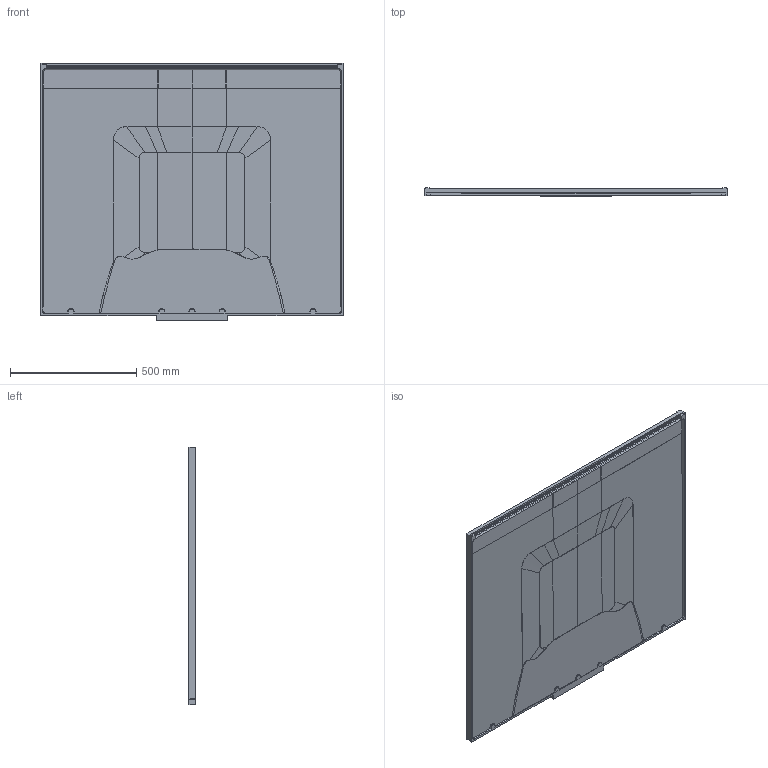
import cadquery as cq
WIDTH = 1200.0
THICKNESS = 30.0
HEIGHT = 1020.0
HALF_WIDTH = WIDTH / 2
RIM_FRONT_Y = -THICKNESS / 2
RIB_BACK_Y = THICKNESS / 2

PANEL_BOTTOM_Z = 20.0
RIM_WIDTH = 7.0
RIM_INNER_X = HALF_WIDTH - RIM_WIDTH
RIM_TOP_Z = 28.0
RIM_DRAFT = 20.0
RECESS_CORNER_RADIUS = 10.0
RECESS_BACK_Y = 3.0
BOTTOM_ROUND = 4.0
RAIL_BOTTOM_Z = 998.0
RAIL_FRONT_Y = -3.2
CORNER_BLOCK_INNER_X = 577.0
CORNER_BLOCK_TOP_Z = 1015.0

BACK_Y = 12.0
RIB_WIDTH = 18.0
RIB_ROUND = 2.5

GROOVE_HALF_LENGTH = 575.0
GROOVE_TOP_Z = 1013.0
GROOVE_FACET_COUNT = 4
GROOVE_CORNER = 4.0
GROOVE_BACK_Y = 2.0

TAB_HALF_WIDTH = 142.0

CROWN_HALF_WIDTH = 137.0
CROWN_FALL = 0.5
CREASE_Z = 922.0
TOP_CREST_Y = -8.0
CREASE_CREST_Y = -9.0
BOTTOM_CREST_Y = -14.0
SIDE_FALL = 4.0
STEP_WIDTH = 5.0
STEP_DEPTH = 0.6

DISH_HALF_WIDTH = 312.0
DISH_BOTTOM_Z = 167.0
DISH_TOP_Z = 769.0
DISH_CORNER_RADIUS = 52.0
DISH_BORDER = 102.0
FLOOR_CORNER_RADIUS = 24.0
RIM_FACET_XS = (186.0, 137.0, 0.0, -137.0, -186.0)
FLOOR_FACET_XS = (137.0, 100.0, 0.0, -100.0, -137.0)
DISH_DEPTH = 2.0
DISH_EDGE_FALL = 1.5
DISH_BED = 5.0

APRON_Y = -12.0
APRON_SHOULDER_WIDTH = 7.0
APRON_SHOULDER_DROP = 1.0
APRON_FOOT_X = 362.0
APRON_FLANK = (338.0, 130.0)
APRON_SHOULDER = (308.0, 233.0)
APRON_CREST = [(286.0, 256.0), (244.0, 244.0), (200.0, 254.0), (143.0, 279.0), (72.0, 282.5)]
APRON_PEAK = (0.0, 284.0)

STUD_RADIUS = 11.0
STUD_ROOT_Z = 8.0
STUD_TOP_Z = 46.0
STUD_DRAFT = 20.0
STUD_XS = (-480.0, -120.0, 0.0, 120.0, 480.0)


def block(x_low, x_high, y_front, y_back, z_low, z_high):
    size = (x_high - x_low, y_back - y_front, z_high - z_low)
    return cq.Workplane("XY").box(*size, centered=False).translate((x_low, y_front, z_low))


def centered_block(x_half, y_front, y_back, z_low, z_high):
    return block(-x_half, x_half, y_front, y_back, z_low, z_high)


def front_plane(y):
    """Plane at the given Y with local axes -X and Z, so that extrusions run towards +Y."""
    return cq.Workplane(cq.Plane(origin=(0, y, 0), xDir=(-1, 0, 0), normal=(0, 1, 0)))


def make_body():
    body = centered_block(HALF_WIDTH, RIM_FRONT_Y, RIB_BACK_Y, PANEL_BOTTOM_Z, HEIGHT)
    body = body.edges("|Z and >Y").fillet(RIB_ROUND)
    body = body.edges("|Y and <Z").fillet(BOTTOM_ROUND)
    back_relief = centered_block(HALF_WIDTH - RIB_WIDTH, BACK_Y, RIB_BACK_Y, PANEL_BOTTOM_Z, HEIGHT)
    rail_relief = centered_block(RIM_INNER_X, RIM_FRONT_Y, RAIL_FRONT_Y, RAIL_BOTTOM_Z, HEIGHT)
    return body.cut(back_relief).cut(rail_relief)


def make_recess():
    """Front pocket that holds the panel, with drafted walls and rounded corners."""
    height = RAIL_BOTTOM_Z - RIM_TOP_Z
    return (
        front_plane(RIM_FRONT_Y)
        .center(0, RIM_TOP_Z + height / 2)
        .sketch()
        .rect(2 * RIM_INNER_X, height)
        .vertices()
        .fillet(RECESS_CORNER_RADIUS)
        .finalize()
        .extrude(RECESS_BACK_Y - RIM_FRONT_Y, taper=RIM_DRAFT)
    )


def make_corner_block(side):
    inner, outer = sorted((side * CORNER_BLOCK_INNER_X, side * RIM_INNER_X))
    return block(inner, outer, RIM_FRONT_Y, BACK_Y, RAIL_BOTTOM_Z, CORNER_BLOCK_TOP_Z)


def make_groove():
    """Groove cutter: flat floor, small sloped corner, upright back and a roof in two facets."""
    facet = (GROOVE_TOP_Z - RAIL_BOTTOM_Z) / GROOVE_FACET_COUNT
    section = [
        (RIM_FRONT_Y, RAIL_BOTTOM_Z),
        (GROOVE_BACK_Y - GROOVE_CORNER, RAIL_BOTTOM_Z),
        (GROOVE_BACK_Y, RAIL_BOTTOM_Z + facet),
        (GROOVE_BACK_Y, GROOVE_TOP_Z - 2 * facet),
        (GROOVE_BACK_Y - GROOVE_CORNER / 2, GROOVE_TOP_Z - facet),
        (RAIL_FRONT_Y, GROOVE_TOP_Z),
        (RIM_FRONT_Y, GROOVE_TOP_Z),
    ]
    return cq.Workplane("YZ").polyline(section).close().extrude(GROOVE_HALF_LENGTH, both=True)


def make_studs():
    """Upright round-topped studs that widen towards the back."""
    length = STUD_TOP_Z - STUD_ROOT_Z
    return (
        front_plane(RIM_FRONT_Y)
        .pushPoints([(-x, STUD_ROOT_Z + length / 2) for x in STUD_XS])
        .slot2D(length, 2 * STUD_RADIUS, 90)
        .extrude(RECESS_BACK_Y - RIM_FRONT_Y, taper=-STUD_DRAFT)
    )


def make_panel(z_low, crest_y_low, z_high, crest_y_high, step=0.0):
    """Stretch of the crowned panel whose crest runs straight between two heights."""
    shoulder_y = crest_y_low + CROWN_FALL
    half = [(CROWN_HALF_WIDTH, shoulder_y + step)]
    if step:
        half.insert(0, (CROWN_HALF_WIDTH - STEP_WIDTH, shoulder_y))
    half += [(HALF_WIDTH, shoulder_y + SIDE_FALL), (HALF_WIDTH, RIB_BACK_Y)]
    left = [(-x, y) for x, y in reversed(half)]
    points = left + [(0, crest_y_low)] + half
    section = cq.Wire.makePolygon([cq.Vector(x, y, z_low) for x, y in points], close=True)
    run = cq.Vector(0, crest_y_high - crest_y_low, z_high - z_low)
    return cq.Workplane(cq.Solid.extrudeLinear(section, [], run))


def make_lower_panel():
    return make_panel(PANEL_BOTTOM_Z, BOTTOM_CREST_Y, CREASE_Z, CREASE_CREST_Y)


def make_upper_panel():
    return make_panel(CREASE_Z, CREASE_CREST_Y, HEIGHT, TOP_CREST_Y, STEP_DEPTH)


def dish_plane(depth):
    """Plane leaning like the crest of the panel, at a depth behind the rim of the dish."""
    lean = (CREASE_CREST_Y - BOTTOM_CREST_Y) / (CREASE_Z - PANEL_BOTTOM_Z)
    middle_z = (DISH_BOTTOM_Z + DISH_TOP_Z) / 2
    middle_y = BOTTOM_CREST_Y + lean * (middle_z - PANEL_BOTTOM_Z) + DISH_EDGE_FALL
    origin = (0, middle_y + depth, middle_z)
    return cq.Workplane(cq.Plane(origin=origin, xDir=(-1, 0, 0), normal=(0, 1, -lean)))


def dish_outline(depth, inset, radius, facet_xs):
    """Rounded rectangle in a dish plane, its top side divided where the border facets meet."""
    x = DISH_HALF_WIDTH - inset
    z = (DISH_TOP_Z - DISH_BOTTOM_Z) / 2 - inset
    outline = dish_plane(depth).moveTo(-x + radius, z)
    for facet_x in sorted(facet_xs):
        outline = outline.lineTo(facet_x, z)
    return (
        outline.lineTo(x - radius, z)
        .radiusArc((x, z - radius), radius)
        .lineTo(x, -z + radius)
        .radiusArc((x - radius, -z), radius)
        .lineTo(-x + radius, -z)
        .radiusArc((-x, -z + radius), radius)
        .lineTo(-x, z - radius)
        .radiusArc((-x + radius, z), radius)
        .wire()
    )


def dish_rim(depth):
    return dish_outline(depth, 0, DISH_CORNER_RADIUS, RIM_FACET_XS)


def dish_floor(depth):
    return dish_outline(depth, DISH_BORDER, FLOOR_CORNER_RADIUS, FLOOR_FACET_XS)


def add_dish(body, crowned_panel):
    """Sink the dish: sloped borders around a floor that keeps the crown of the panel.

    Faces are left unmerged here, so that the border facets stay separate.
    """
    opening = dish_rim(-DISH_BED).extrude(2 * DISH_BED)
    bed = dish_rim(0).extrude(DISH_BED)
    slopes = cq.Workplane(cq.Solid.makeLoft([dish_rim(0).val(), dish_floor(DISH_DEPTH).val()], True))
    floor_space = dish_floor(-DISH_BED).extrude(2 * DISH_BED)
    floor = crowned_panel.translate((0, DISH_DEPTH, 0)).intersect(floor_space)
    ring = bed.cut(slopes, clean=False).cut(floor_space, clean=False)
    return body.cut(opening).union(ring, clean=False).union(floor, clean=False)


def apron_outline(y, spread):
    """Symmetric wire of the apron at the given Y, its feet moved outwards by the spread."""
    def points(*pairs):
        return [cq.Vector(x, y, z) for x, z in pairs]

    foot = (APRON_FOOT_X + spread, RIM_TOP_Z)
    flank = (APRON_FLANK[0] + spread, APRON_FLANK[1])
    shoulder = (APRON_SHOULDER[0] + spread / 2, APRON_SHOULDER[1])
    right = [foot, flank, shoulder]
    left = [(-x, z) for x, z in reversed(right)]
    right_crest = [shoulder] + APRON_CREST
    left_crest = [(-x, z) for x, z in reversed(right_crest)]
    crest = right_crest + [APRON_PEAK] + left_crest
    edges = [
        cq.Edge.makeThreePointArc(*points(*right)),
        cq.Edge.makeSpline(points(*crest)),
        cq.Edge.makeThreePointArc(*points(*left)),
        cq.Edge.makeLine(*points(left[-1], foot)),
    ]
    return cq.Wire.assembleEdges(edges)


def prism(wire, depth):
    return cq.Workplane(cq.Solid.extrudeLinear(wire, [], cq.Vector(0, depth, 0)))


def add_apron(body):
    """Level the panel to the apron, leaving the studs that stand in front of it."""
    shoulder_y = APRON_Y + APRON_SHOULDER_DROP
    top = apron_outline(APRON_Y, 0)
    base = apron_outline(shoulder_y, APRON_SHOULDER_WIDTH)
    opening = prism(base, 2 * RIM_FRONT_Y).cut(make_studs())
    slope = cq.Workplane(cq.Solid.makeLoft([top, base], True))
    bed = prism(base, BACK_Y - shoulder_y)
    return body.cut(opening, clean=False).union(bed, clean=False).union(slope, clean=False)


panel = make_lower_panel()
front_space = make_recess().cut(panel).cut(make_upper_panel()).cut(make_studs())
result = make_body().cut(front_space)
for block_side in (-1, 1):
    result = result.union(make_corner_block(block_side))
result = result.cut(make_groove())
result = result.union(centered_block(TAB_HALF_WIDTH, RIM_FRONT_Y, BACK_Y, 0, RIM_TOP_Z))
result = add_dish(result, panel)
result = add_apron(result)